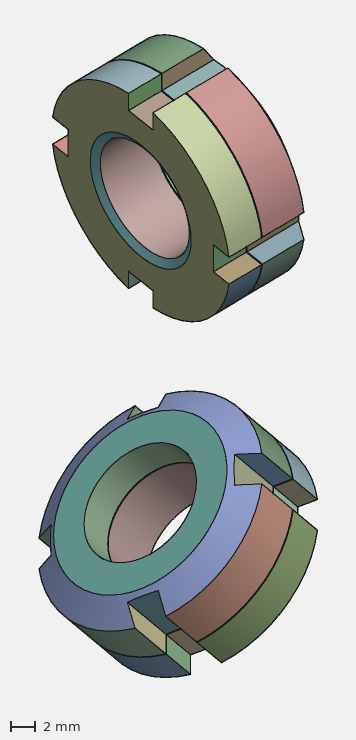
import cadquery as cq
import math

outer_width = 21.8
thickness = 9.5
front_y = -thickness / 2
rear_y = thickness / 2

slot_count = 4
slot_width = 3.0
slot_floor_radius = 8.98
outer_radius = math.hypot(outer_width / 2, slot_width / 2)

bore_radius = 5.5

lead_in_width = 0.75
lead_in_depth = 0.44

cone_depth = 1.45
cone_angle = 30.0
rear_face_radius = outer_radius - cone_depth / math.tan(math.radians(cone_angle))

flange_thickness = 3.5
boss_height = 2.5
boss_radius = (bore_radius + slot_floor_radius) / 2
flange_rear_y = front_y + flange_thickness
boss_rear_y = flange_rear_y + boss_height

ring_gap = 0.09
rear_ring_front_y = flange_rear_y + ring_gap
recess_floor_y = boss_rear_y + ring_gap


def revolve_profile(points):
    """Turn a closed (radius, y) profile around the Y axis."""
    return cq.Workplane("XY").polyline(points).close().revolve(360, (0, 0, 0), (0, 1, 0))


def cut_slots(ring):
    """Cut the wrench slots through the full thickness of a ring."""
    slot_depth = outer_radius - slot_floor_radius
    slot_center_radius = slot_floor_radius + slot_depth / 2
    for index in range(slot_count):
        slot = (
            cq.Workplane("XY")
            .box(slot_depth, thickness, slot_width)
            .translate((slot_center_radius, 0, 0))
            .rotate((0, 0, 0), (0, 1, 0), index * 360 / slot_count)
        )
        ring = ring.cut(slot)
    return ring


def make_front_ring():
    """Flange with a lead-in at its bore mouth and a boss on its rear face."""
    ring = revolve_profile([
        (bore_radius + lead_in_width, front_y),
        (outer_radius, front_y),
        (outer_radius, flange_rear_y),
        (boss_radius, flange_rear_y),
        (boss_radius, boss_rear_y),
        (bore_radius, boss_rear_y),
        (bore_radius, front_y + lead_in_depth),
    ])
    return cut_slots(ring)


def make_rear_ring():
    """Ring with a recess for the boss and a conical outer edge on its rear face."""
    ring = revolve_profile([
        (bore_radius, recess_floor_y),
        (boss_radius, recess_floor_y),
        (boss_radius, rear_ring_front_y),
        (outer_radius, rear_ring_front_y),
        (outer_radius, rear_y - cone_depth),
        (rear_face_radius, rear_y),
        (bore_radius, rear_y),
    ])
    return cut_slots(ring)


front_ring = make_front_ring()
rear_ring = make_rear_ring()

result = cq.Compound.makeCompound([front_ring.val(), rear_ring.val()])